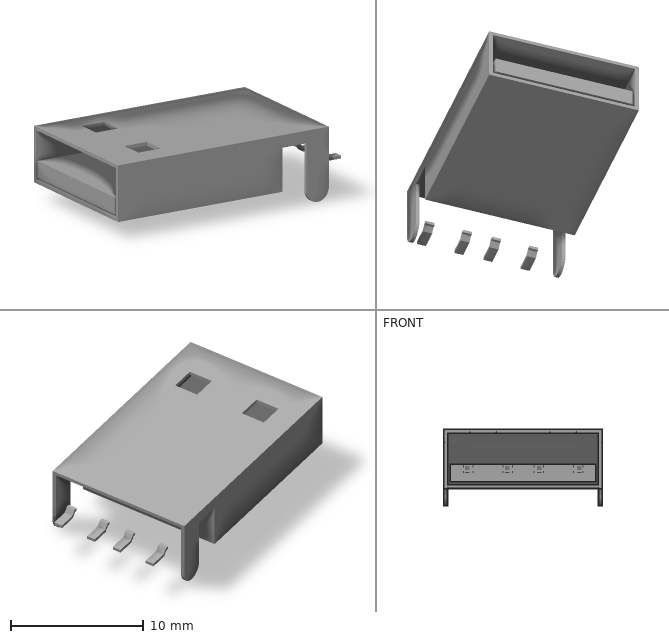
import cadquery as cq

overall_length = 20.8

shell_width = 12.0
shell_length = 18.8
shell_height = 4.5
wall = 0.3
leg_width = 2.0
leg_drop = 1.3
leg_gap = 2.12
hood_depth = 1.0
tube_length = shell_length - leg_width - leg_gap
cavity_width = shell_width - 2 * wall

window_size = 2.0
window_offset = 3.04
window_from_front = 4.04

plug_length = 3.0
tongue_clearance = 0.2
tongue_height = 1.33
plug_front = tube_length - plug_length

tail_offsets = (-4.15, -1.16, 1.16, 4.15)
tail_width = 0.7
tail_length = overall_length - shell_length
tail_thickness = 0.25
tail_depth = 2.6
tail_top = shell_height - tail_depth
tail_step = 0.4
upper_bend = 0.27
lower_bend = 0.58
bend_shift = 0.06


def block(width, y_start, y_end, z_start, z_end):
    """Box centred on X between the given Y and Z limits."""
    length = y_end - y_start
    height = z_end - z_start
    return (
        cq.Workplane("XY")
        .box(width, length, height, centered=(True, False, False))
        .translate((0, y_start, z_start))
    )


def make_shell():
    leg_front = shell_length - leg_width
    leg_radius = leg_width / 2
    arc_level = leg_radius - leg_drop
    hood_level = shell_height - hood_depth
    outline = (
        cq.Workplane("YZ")
        .moveTo(0, 0)
        .lineTo(tube_length, 0)
        .lineTo(tube_length, hood_level)
        .lineTo(leg_front, hood_level)
        .lineTo(leg_front, arc_level)
        .threePointArc((leg_front + leg_radius, -leg_drop), (shell_length, arc_level))
        .lineTo(shell_length, shell_height)
        .lineTo(0, shell_height)
        .close()
    )
    body = outline.extrude(shell_width / 2, both=True)

    roof_underside = shell_height - wall
    cavity = block(cavity_width, 0, shell_length, wall, roof_underside)
    leg_space = block(cavity_width, tube_length, shell_length, -leg_drop, roof_underside)
    body = body.cut(cavity).cut(leg_space)

    for side in (-1, 1):
        window = block(
            window_size,
            window_from_front - window_size / 2,
            window_from_front + window_size / 2,
            roof_underside,
            shell_height,
        )
        body = body.cut(window.translate((side * window_offset, 0, 0)))
    return body


def make_plug():
    return block(cavity_width, plug_front, tube_length, wall, shell_height - wall)


def make_tongue():
    bottom = wall + tongue_clearance
    width = cavity_width - 2 * tongue_clearance
    return block(width, 0, plug_front, bottom, bottom + tongue_height)


def make_tail(x_center):
    rear = shell_length
    tip = shell_length + tail_length
    low_top = tail_top - tail_step
    profile = [
        (rear, tail_top),
        (rear + upper_bend, tail_top),
        (rear + lower_bend, low_top),
        (tip, low_top),
        (tip, low_top - tail_thickness),
        (rear + lower_bend - bend_shift, low_top - tail_thickness),
        (rear + upper_bend - bend_shift, tail_top - tail_thickness),
        (rear, tail_top - tail_thickness),
    ]
    tail = cq.Workplane("YZ").polyline(profile).close().extrude(tail_width / 2, both=True)
    return tail.translate((x_center, 0, 0))


shell = make_shell()
plug = make_plug()
tongue = make_tongue()
tails = [make_tail(x) for x in tail_offsets]

result = cq.Compound.makeCompound(
    [shell.val(), plug.val(), tongue.val(), *[tail.val() for tail in tails]]
)